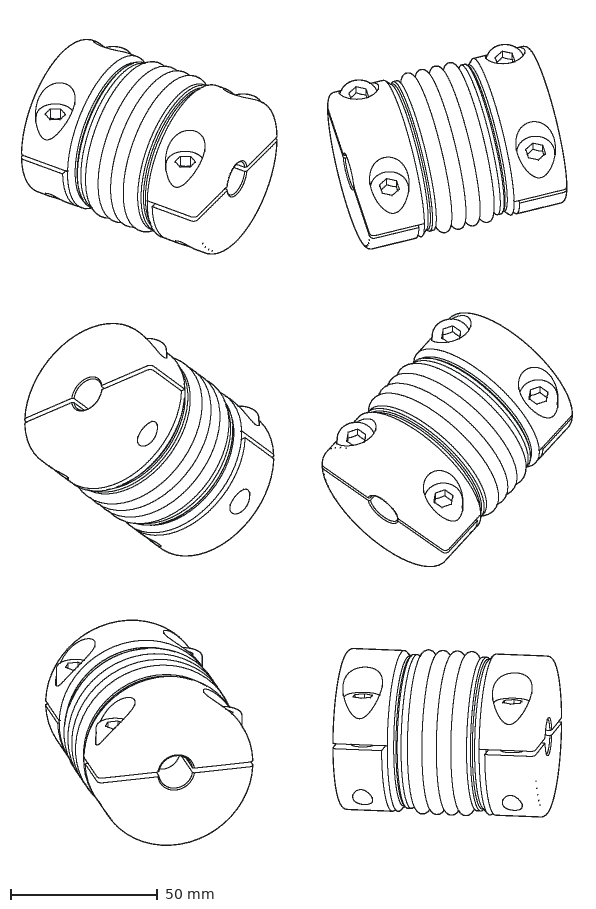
import cadquery as cq
import math


length = 69.95
half_length = length / 2

hub_radius = 55.0 / 2
hub_length = 19.1
hub_edge_fillet = 1.6
bore_radius = 11.95 / 2
bore_mouth_radius = 13.0 / 2
slit_height = 1.75
cap_length = 17.15

neck_start = 21.0
neck_radius = hub_radius - (neck_start - hub_length)
neck_end = 21.75
collar_radius = 52.5 / 2
collar_start = 22.3
collar_end = 23.65
collar_shoulder_radius = 24.5

crest_count = 4
crest_radius = 56.0 / 2
root_radius = 20.0
root_span = 20.0
pitch = root_span / crest_count
crest_width = 3.15
cavity_radius = 14.6

screw_inset = 9.1
screw_offset = 19.0
shank_radius = 8.0 / 2
shank_length = 20.0
clearance_radius = 8.6 / 2
thread_hole_radius = 6.8 / 2
head_radius = 13.0 / 2
head_height = 8.0
head_top = 16.0
head_edge_fillet = 1.0
counterbore_radius = 13.5 / 2
socket_width = 6.0
socket_depth = 4.0
socket_tip_angle = 120.0

root_width = pitch - crest_width
crest_round = crest_width / 2
root_round = root_width / 2
first_crest = (pitch - root_span) / 2
first_root = -root_span / 2
cavity_half_length = half_length - hub_length
slit_top = slit_height / 2
seat_height = head_top - head_height
screw_x = half_length - screw_inset
socket_corner_radius = socket_width / math.sqrt(3)


def x_cylinder(radius, x_start, x_end):
    return cq.Workplane("YZ").workplane(offset=x_start).circle(radius).extrude(x_end - x_start)


def z_cylinder(x, y, radius, z_start, z_end):
    return (
        cq.Workplane("XY", origin=(x, y, z_start))
        .circle(radius)
        .extrude(z_end - z_start)
    )


def add_root(profile, x):
    """Draw one rounded groove bottom of the bellows, centred at x, from left to right."""
    round_centre = root_radius + root_round
    return (
        profile.lineTo(x - root_round, round_centre)
        .threePointArc((x, root_radius), (x + root_round, round_centre))
    )


def add_crest(profile, x):
    """Draw one rounded rib of the bellows, centred at x, from left to right."""
    round_centre = crest_radius - crest_round
    return (
        profile.lineTo(x - crest_round, round_centre)
        .threePointArc((x, crest_radius), (x + crest_round, round_centre))
    )


def shoulder_points():
    """Outline of the hub and stepped shoulder as (distance from end face, radius)."""
    return [
        (0, 0),
        (0, hub_radius),
        (hub_length, hub_radius),
        (neck_start, neck_radius),
        (neck_end, neck_radius),
        (collar_start, collar_radius),
        (collar_end, collar_radius),
        (collar_end, collar_shoulder_radius),
    ]


def make_body():
    """Hubs, shoulders and bellows turned as one solid, with rounded outer end edges."""
    left = [(distance - half_length, radius) for distance, radius in shoulder_points()]
    right = [(-x, radius) for x, radius in reversed(left)]

    profile = cq.Workplane("XY").polyline(left)
    profile = add_root(profile, first_root)
    for index in range(crest_count):
        crest_x = first_crest + index * pitch
        profile = add_crest(profile, crest_x)
        profile = add_root(profile, crest_x + pitch / 2)
    for point in right:
        profile = profile.lineTo(*point)

    body = profile.close().revolve(360, (0, 0, 0), (1, 0, 0))
    return body.faces("<X or >X").edges().fillet(hub_edge_fillet)


def cut_inside(body):
    """Cut the bellows cavity and the shaft bore with its chamfered mouths."""
    body = body.cut(x_cylinder(cavity_radius, -cavity_half_length, cavity_half_length))
    body = body.cut(x_cylinder(bore_radius, -half_length, half_length))
    mouth_edges = body.faces("<X or >X").edges(cq.selectors.RadiusNthSelector(0))
    return mouth_edges.chamfer(bore_mouth_radius - bore_radius)


def make_cap_gap(side):
    """Slit above one clamp cap and the space between that cap and the shoulder."""
    slit = (
        cq.Workplane("XY")
        .box(hub_length, 2 * hub_radius, slit_height)
        .translate((side * (half_length - hub_length / 2), 0, 0))
    )
    gap_width = hub_length - cap_length
    gap_height = slit_top + hub_radius
    end_gap = (
        cq.Workplane("XY")
        .box(gap_width, 2 * hub_radius, gap_height)
        .translate((side * (half_length - cap_length - gap_width / 2), 0, slit_top - gap_height / 2))
    )
    return slit.union(end_gap)


def make_screw_hole(x, y):
    """Counterbore and clearance hole in the fixed jaw, threaded hole through the cap."""
    counterbore = z_cylinder(x, y, counterbore_radius, seat_height, hub_radius)
    clearance = z_cylinder(x, y, clearance_radius, 0, seat_height)
    thread_hole = z_cylinder(x, y, thread_hole_radius, -hub_radius, 0)
    return counterbore.union(clearance).union(thread_hole)


def make_socket(x, y):
    """Hexagon socket with a conical bottom, corners pointing along Y."""
    tip_depth = socket_corner_radius / math.tan(math.radians(socket_tip_angle / 2))
    hexagon = (
        cq.Workplane("XY", origin=(x, y, head_top))
        .transformed(rotate=(0, 0, 90))
        .polygon(6, 2 * socket_corner_radius)
        .extrude(-socket_depth - tip_depth)
    )
    drill = (
        cq.Workplane("XZ")
        .polyline([
            (0, 0),
            (socket_corner_radius, 0),
            (socket_corner_radius, -socket_depth),
            (0, -socket_depth - tip_depth),
        ])
        .close()
        .revolve(360, (0, 0, 0), (0, 1, 0))
        .translate((x, y, head_top))
    )
    return hexagon.intersect(drill)


def make_screw(x, y):
    """Socket head cap screw with its head up."""
    head = z_cylinder(x, y, head_radius, seat_height, head_top)
    head = head.faces(">Z").edges().fillet(head_edge_fillet)
    shank = z_cylinder(x, y, shank_radius, seat_height - shank_length, seat_height)
    return head.union(shank).cut(make_socket(x, y))


result = cut_inside(make_body())
for side in (-1, 1):
    result = result.cut(make_cap_gap(side))
    for screw_y in (-screw_offset, screw_offset):
        result = result.cut(make_screw_hole(side * screw_x, screw_y))
        result = result.union(make_screw(side * screw_x, screw_y))